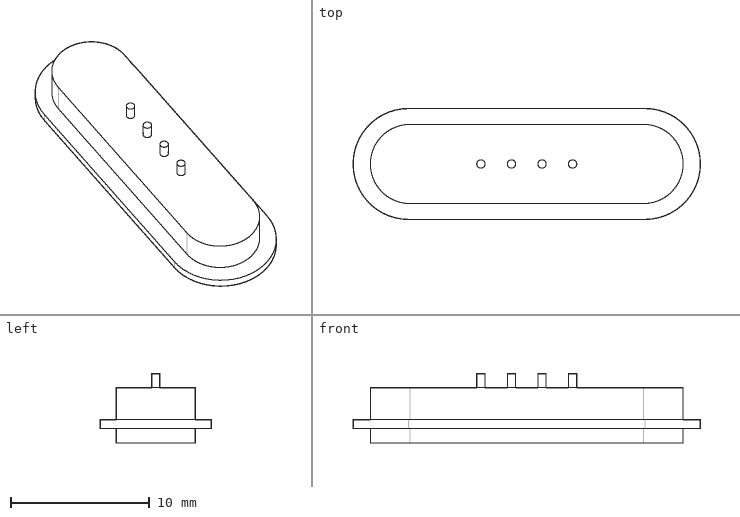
import cadquery as cq

body_length = 22.5
body_width = 5.7
body_height = 4.0

flange_length = 25.0
flange_width = 8.0
flange_thickness = 0.65
flange_bottom = 1.05

pin_count = 4
pin_pitch = 2.2
pin_diameter = 0.6
overall_height = 5.0


def rounded_bar(length, width, bottom, height):
    """Extrude a bar with semicircular ends, lying along X."""
    return cq.Workplane("XY").workplane(offset=bottom).slot2D(length, width).extrude(height)


def pin_row():
    """Pins centred on the body, standing on its top face."""
    return (
        cq.Workplane("XY")
        .workplane(offset=body_height)
        .rarray(pin_pitch, 0.25, pin_count, 1)
        .circle(pin_diameter / 2)
        .extrude(overall_height - body_height)
    )


body = rounded_bar(body_length, body_width, 0, body_height)
flange = rounded_bar(flange_length, flange_width, flange_bottom, flange_thickness)

result = body.union(flange).union(pin_row())